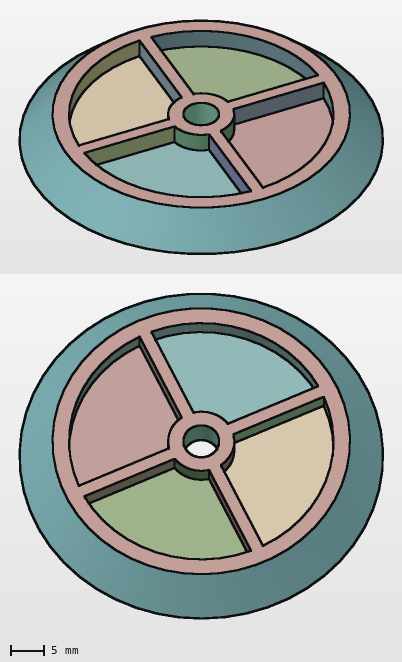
import cadquery as cq

base_diameter = 55.0
top_diameter = 45.0
height = 5.0

recess_diameter = 40.0
recess_depth = 3.0
rib_width = 2.0
hub_diameter = 10.0
bore_diameter = 5.4

floor_height = height - recess_depth


def make_disc():
    """Solid disc whose rim tapers from the base to the top face."""
    return (
        cq.Workplane("XY")
        .circle(base_diameter / 2)
        .workplane(offset=height)
        .circle(top_diameter / 2)
        .loft(ruled=True)
    )


def make_pockets():
    """Four pockets left in the round recess between the ribs and the hub."""
    floor = cq.Workplane("XY").workplane(offset=floor_height)
    recess = floor.circle(recess_diameter / 2).extrude(recess_depth)
    hub = floor.circle(hub_diameter / 2).extrude(recess_depth)
    rib_along_x = floor.rect(recess_diameter, rib_width).extrude(recess_depth)
    rib_along_y = floor.rect(rib_width, recess_diameter).extrude(recess_depth)
    return recess.cut(hub).cut(rib_along_x).cut(rib_along_y)


def make_bore():
    """Through hole along the axis of the disc."""
    return cq.Workplane("XY").circle(bore_diameter / 2).extrude(height)


result = make_disc().cut(make_pockets()).cut(make_bore())